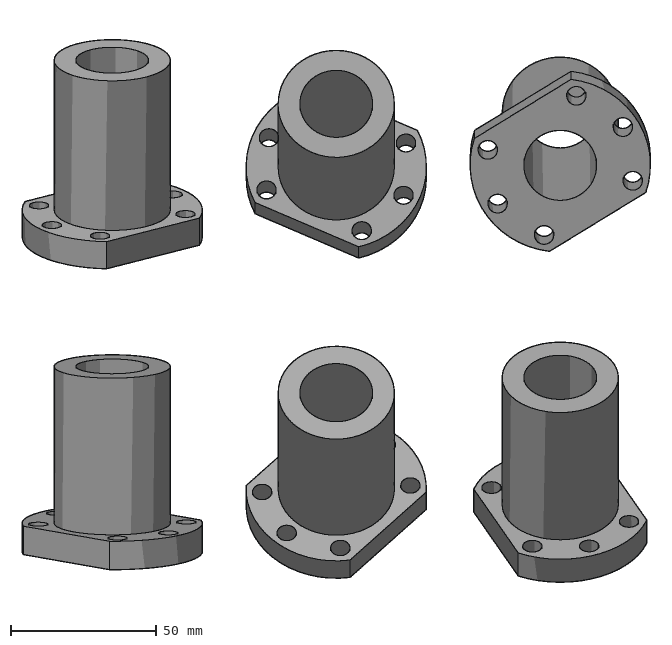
import cadquery as cq

total_height = 65
body_diameter = 40.0
bore_diameter = 25.0

flange_diameter = 62.0
flange_width = 48.0
flange_thickness = 10.0

hole_diameter = 6.6
hole_circle_diameter = 51.0
hole_spacing_angle = 45
holes_per_end = 3


def make_flange():
    disc = cq.Workplane("XY").circle(flange_diameter / 2).extrude(flange_thickness)
    flats = cq.Workplane("XY").rect(flange_width, flange_diameter).extrude(flange_thickness)
    return disc.intersect(flats)


def make_body():
    return cq.Workplane("XY").circle(body_diameter / 2).extrude(total_height)


def make_bore():
    return cq.Workplane("XY").circle(bore_diameter / 2).extrude(total_height)


def make_mounting_holes(end_angle):
    """Holes centred on end_angle, measured in degrees from +X."""
    first_angle = end_angle - hole_spacing_angle * (holes_per_end - 1) / 2
    return (
        cq.Workplane("XY")
        .polarArray(
            hole_circle_diameter / 2, first_angle, hole_spacing_angle, holes_per_end, fill=False
        )
        .circle(hole_diameter / 2)
        .extrude(flange_thickness)
    )


result = make_flange().union(make_body()).cut(make_bore())
for end_angle in (90, 270):
    result = result.cut(make_mounting_holes(end_angle))